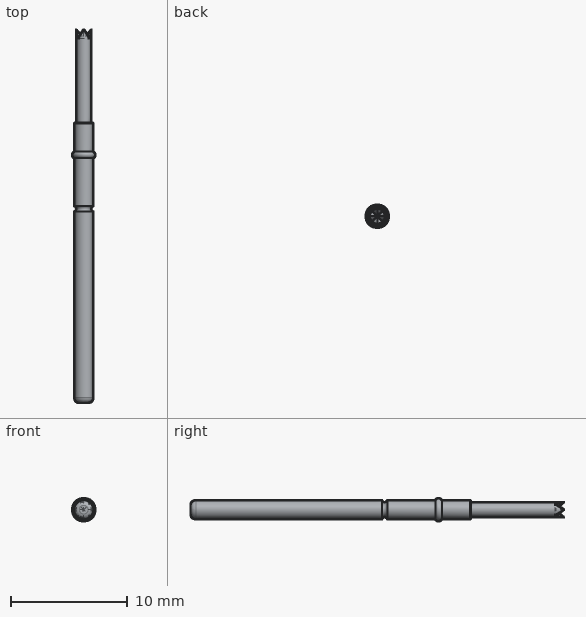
import cadquery as cq
import math

total_length = 32.0

barrel_radius = 0.83
barrel_length = 24.02
tail_rounding = 0.46
mouth_chamfer = 0.07

ring_radius = 1.0
ring_center = 21.25
ring_half_width = 0.28

crimp_center = 16.63
crimp_depth = 0.17
crimp_half_width = 0.24

plunger_radius = 0.65
crown_points = 4
crown_groove_angle = 60.0


def make_barrel():
    """Revolve the barrel about Y, with its ring and crimp groove."""
    return (
        cq.Workplane("XY")
        .lineTo(barrel_radius - tail_rounding, 0)
        .tangentArcPoint((tail_rounding, tail_rounding))
        .lineTo(barrel_radius, crimp_center - crimp_half_width)
        .threePointArc(
            (barrel_radius - crimp_depth, crimp_center),
            (barrel_radius, crimp_center + crimp_half_width),
        )
        .lineTo(barrel_radius, ring_center - ring_half_width)
        .threePointArc(
            (ring_radius, ring_center),
            (barrel_radius, ring_center + ring_half_width),
        )
        .lineTo(barrel_radius, barrel_length - mouth_chamfer)
        .line(-mouth_chamfer, mouth_chamfer)
        .lineTo(0, barrel_length)
        .close()
        .revolve(360, (0, 0), (0, 1))
    )


def make_crown_groove(angle):
    """V-groove across the plunger tip, turned by angle about Y."""
    half_width = plunger_radius * math.sin(math.pi / crown_points)
    slope = 1 / math.tan(math.radians(crown_groove_angle / 2))
    groove_bottom = total_length - half_width * slope
    cutter_half_width = 2 * half_width
    cutter_top = groove_bottom + cutter_half_width * slope
    return (
        cq.Workplane("XY")
        .moveTo(0, groove_bottom)
        .lineTo(cutter_half_width, cutter_top)
        .lineTo(-cutter_half_width, cutter_top)
        .close()
        .extrude(2 * plunger_radius, both=True)
        .rotate((0, 0, 0), (0, 1, 0), angle)
    )


def make_plunger():
    """Round plunger rising out of the barrel, cut to a crown at its tip."""
    plunger = (
        cq.Workplane("XZ", origin=(0, barrel_length, 0))
        .circle(plunger_radius)
        .extrude(barrel_length - total_length)
    )
    groove_spacing = 360 / crown_points
    for index in range(crown_points // 2):
        plunger = plunger.cut(make_crown_groove((index + 0.5) * groove_spacing))
    return plunger


result = make_barrel().union(make_plunger())